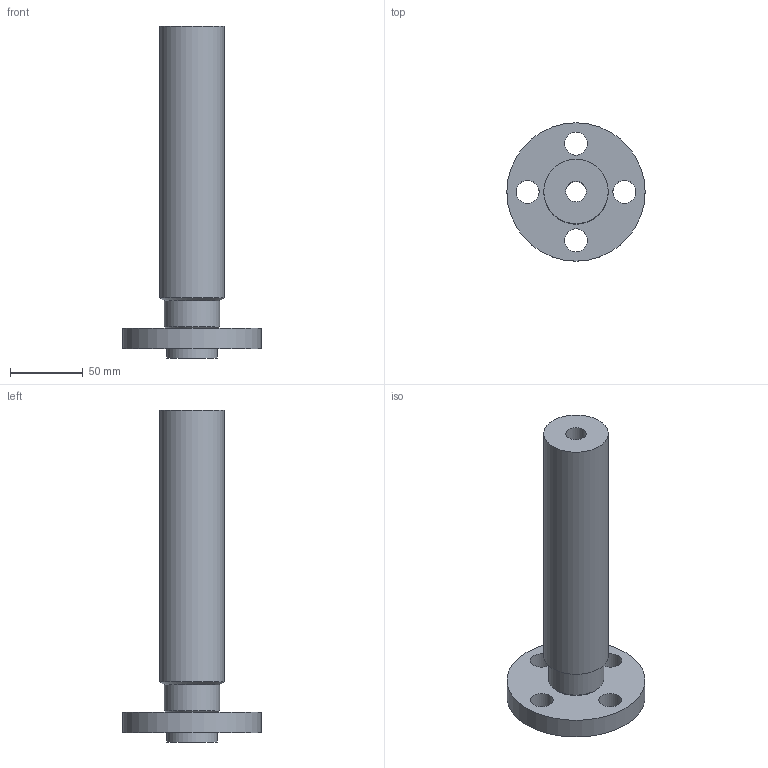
import cadquery as cq
import math

overall_length = 228.6
flange_diameter = 95.25
flange_thickness = 14.2
raised_face_diameter = 34.9
raised_face_height = 6.4

neck_diameter = 38.1
neck_foot_chamfer = 1.0
barrel_diameter = 44.45
barrel_bottom = 39.5
shoulder_angle = 30

bore_diameter = 14.2
bolt_hole_diameter = 15.9
bolt_circle_diameter = 66.7
bolt_hole_count = 4

shoulder_width = (barrel_diameter - neck_diameter) / 2
shoulder_height = shoulder_width * math.tan(math.radians(shoulder_angle))
flange_top = raised_face_height + flange_thickness


def cylinder(diameter, bottom, top):
    """Upright cylinder on the Z axis between two heights."""
    return cq.Workplane("XY").workplane(offset=bottom).circle(diameter / 2).extrude(top - bottom)


def make_flange():
    """Flange disc with the raised face below it."""
    raised_face = cylinder(raised_face_diameter, 0, flange_top)
    return cylinder(flange_diameter, raised_face_height, flange_top).union(raised_face)


def make_stem():
    """Neck chamfered at its foot, carrying the long barrel with a conical shoulder."""
    neck = cylinder(neck_diameter, flange_top, barrel_bottom).faces("<Z").chamfer(neck_foot_chamfer)
    barrel = cylinder(barrel_diameter, barrel_bottom, overall_length)
    barrel = barrel.faces("<Z").chamfer(shoulder_height, shoulder_width)
    return neck.union(barrel)


def make_bolt_holes():
    """Through holes of the flange, the first one on the +X axis."""
    return (
        cq.Workplane("XY")
        .polarArray(bolt_circle_diameter / 2, 0, 360, bolt_hole_count)
        .circle(bolt_hole_diameter / 2)
        .extrude(flange_top)
    )


bore = cylinder(bore_diameter, 0, overall_length)

result = make_flange().union(make_stem()).cut(make_bolt_holes()).cut(bore)